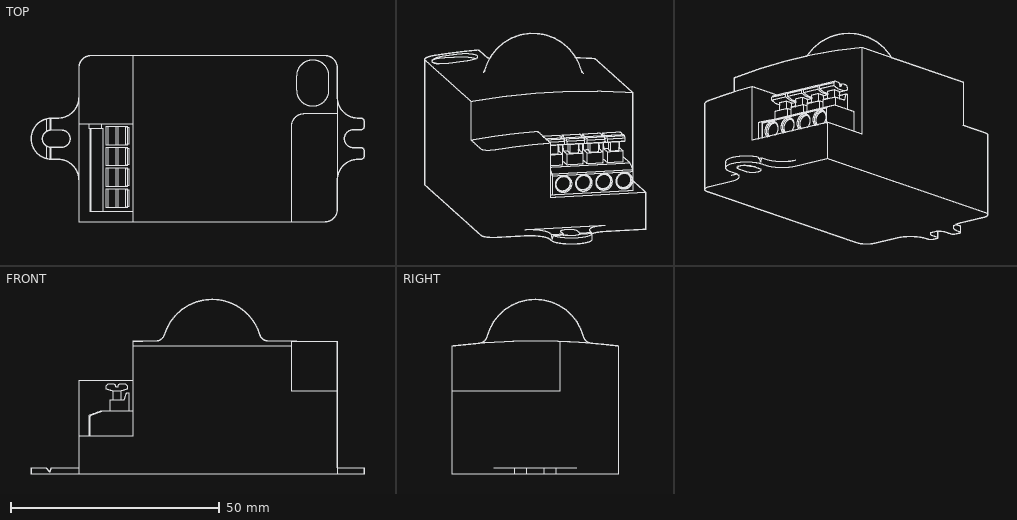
import cadquery as cq
import math

overall_length = 80.0

body_length = 62.1
body_width = 40.0
body_half = body_width / 2
corner_radius = 3.0
crown_height = 32.0
crown_drop = 1.2
crown_radius = (body_half**2 + crown_drop**2) / (2 * crown_drop)
step_length = 13.0
step_drop = 9.4

bay_floor = 9.1
bay_wall_y = 3.5

ledge_start_x = 51.0
ledge_wall_y = 6.0
ledge_height = 20.0

window_length = 11.1
window_width = 7.7
window_x = 56.2
window_y = 13.4
window_floor = 30.9

dome_radius = 12.0
dome_x = 32.0
dome_center_z = 30.0
dome_blend = 2.0

ear_thickness = 1.5
ear_half = 5.0
ear_root_half = 9.9
flare_radius = ear_root_half - ear_half
left_slot_width = 4.1
right_slot_width = 4.2
left_ear_reach = 11.4
left_slot_start = 2.1
left_slot_end = 8.7
right_ear_reach = overall_length - left_ear_reach - body_length
right_slot_start = 1.7
prong_round = 0.9
notch_start = 7.8
notch_deep = 7.0
notch_end = 6.6
notch_depth = 1.0

pole_count = 4
block_front = 2.6
block_left_y = 2.5
block_width = 20.0
pole_pitch = block_width / pole_count
block_height = 15.2
block_face_height = 13.8
block_bevel = 0.3
block_slope_height = 14.2
block_slope_end = 5.8
plate_front = 2.4
plate_face_height = 14.1
plate_slope_end = 5.4
entry_diameter = 3.6
entry_rim_diameter = 4.1
entry_rim_depth = 0.2
entry_depth = 0.8
entry_z = 11.6
first_entry_y = -0.3

first_lever_y = 0.7
lever_x = 9.1
foot_front = 7.4
foot_back = 12.0
foot_width = 3.9
foot_top = 17.8
post_top = 19.5
post_base_x = 10.9
post_top_x = 11.4
neck_width = 2.1
neck_half = 1.0
cap_half = 2.6
cap_width = 4.4
cap_bottom = 20.0
cap_edge_bottom = 20.5
cap_edge_top = 21.2
cap_top = 21.7
cap_chamfer = 0.5
slot_half = 0.2
slot_shoulder = 0.68
slot_bottom = 20.9


def box(x0, x1, y0, y1, z0, z1):
    return cq.Workplane("XY").box(x1 - x0, y1 - y0, z1 - z0, centered=False).translate((x0, y0, z0))


def crowned_prism(x0, x1, drop):
    """Full-width prism whose roof is a shallow cylinder about an X-parallel axis."""
    roof_radius = crown_radius - drop
    side_z = crown_height - crown_radius + math.sqrt(roof_radius**2 - body_half**2)
    return (
        cq.Workplane("YZ", origin=(x0, 0, 0))
        .moveTo(-body_half, 0)
        .lineTo(body_half, 0)
        .lineTo(body_half, side_z)
        .threePointArc((0, crown_height - drop), (-body_half, side_z))
        .close()
        .extrude(x1 - x0)
    )


def make_shell():
    shell = crowned_prism(step_length, body_length, 0).union(crowned_prism(0, step_length, step_drop))
    shell = shell.edges("|Z").edges(">X or (<X and >Y)").fillet(corner_radius)
    shell = shell.cut(box(0, step_length, -body_half, bay_wall_y, bay_floor, crown_height))
    ledge_notch = box(
        ledge_start_x, body_length + corner_radius, -body_half - corner_radius, ledge_wall_y,
        ledge_height, crown_height,
    )
    shell = shell.cut(ledge_notch.edges("|Z and <X and >Y").fillet(corner_radius))
    window = (
        cq.Workplane("XY", origin=(window_x, window_y, window_floor))
        .slot2D(window_length, window_width, 90)
        .extrude(crown_height - window_floor)
    )
    return shell.cut(window)


def add_dome(shell):
    """Sphere rising through the roof, with a concave blend where they meet."""
    sphere = cq.Workplane("XY").sphere(dome_radius).translate((dome_x, 0, dome_center_z))
    sphere = sphere.intersect(
        box(0, body_length, -body_half, body_half, crown_height - 2 * crown_drop, dome_center_z + dome_radius)
    )
    seam_zone = cq.selectors.BoxSelector(
        (dome_x - dome_radius, -dome_radius, crown_height - crown_drop),
        (dome_x + dome_radius, dome_radius, crown_height + crown_drop),
        boundingbox=True,
    )
    return shell.union(sphere).edges(seam_zone).fillet(dome_blend)


def ear_strip(reach):
    """Ear pointing along +X from x = 0, with concave flares at its root."""
    flare_mid = flare_radius * (1 - math.sqrt(0.5))
    return (
        cq.Workplane("XY")
        .moveTo(0, -ear_root_half)
        .threePointArc((flare_mid, -ear_half - flare_mid), (flare_radius, -ear_half))
        .lineTo(reach, -ear_half)
        .lineTo(reach, ear_half)
        .lineTo(flare_radius, ear_half)
        .threePointArc((flare_mid, ear_half + flare_mid), (0, ear_root_half))
        .close()
        .extrude(ear_thickness)
    )


def slot_cutter(start, end, width):
    return (
        cq.Workplane("XY")
        .center((start + end) / 2, 0)
        .slot2D(end - start, width)
        .extrude(ear_thickness)
    )


def make_left_ear():
    end_center = left_ear_reach - ear_half
    round_end = cq.Workplane("XY").center(end_center, 0).circle(ear_half).extrude(ear_thickness)
    ear = ear_strip(end_center).union(round_end)
    ear = ear.cut(slot_cutter(left_slot_start, left_slot_end, left_slot_width))
    notch = (
        cq.Workplane("XZ", origin=(0, ear_half, 0))
        .moveTo(notch_start, ear_thickness)
        .lineTo(notch_deep, ear_thickness - notch_depth)
        .lineTo(notch_end, ear_thickness)
        .close()
        .extrude(2 * ear_half)
    )
    return ear.cut(notch).mirror("YZ")


def make_right_ear():
    ear = ear_strip(right_ear_reach)
    ear = ear.cut(slot_cutter(right_slot_start, right_ear_reach + right_slot_width, right_slot_width))
    ear = ear.edges("|Z and >X").fillet(prong_round)
    return ear.translate((body_length, 0, 0))


def make_lever(y):
    """Foot, rear post, neck and slotted cap of one pole."""
    foot = box(foot_front, foot_back, y - foot_width / 2, y + foot_width / 2, block_height, foot_top)
    post = (
        cq.Workplane("XZ", origin=(0, y + foot_width / 2, 0))
        .moveTo(post_base_x, foot_top)
        .lineTo(post_top_x, post_top)
        .lineTo(foot_back, post_top)
        .lineTo(foot_back, foot_top)
        .close()
        .extrude(foot_width)
    )
    neck = box(
        lever_x - neck_half, lever_x + neck_half, y - neck_width / 2, y + neck_width / 2, foot_top, cap_bottom
    )
    shoulder_x = slot_half + slot_shoulder
    shoulder_z = cap_top - slot_shoulder
    shoulder_mid = slot_shoulder * math.sqrt(0.5)
    cap = (
        cq.Workplane("XZ", origin=(lever_x, y + cap_width / 2, 0))
        .moveTo(0, slot_bottom)
        .lineTo(slot_half, slot_bottom)
        .lineTo(slot_half, shoulder_z)
        .threePointArc((shoulder_x - shoulder_mid, shoulder_z + shoulder_mid), (shoulder_x, cap_top))
        .lineTo(cap_half - cap_chamfer, cap_top)
        .lineTo(cap_half, cap_edge_top)
        .lineTo(cap_half, cap_edge_bottom)
        .lineTo(neck_half, cap_bottom)
        .lineTo(0, cap_bottom)
        .mirrorY()
        .extrude(cap_width)
    )
    return foot.union(post).union(neck).union(cap)


def make_terminal_block():
    block = (
        cq.Workplane("XZ", origin=(0, block_left_y, 0))
        .moveTo(block_front, bay_floor)
        .lineTo(block_front, block_face_height)
        .lineTo(block_front + block_bevel, block_slope_height)
        .lineTo(block_slope_end, block_height)
        .lineTo(step_length, block_height)
        .lineTo(step_length, bay_floor)
        .close()
        .extrude(block_width)
    )
    end_plate = (
        cq.Workplane("XZ", origin=(0, bay_wall_y, 0))
        .moveTo(plate_front, bay_floor)
        .lineTo(plate_front, plate_face_height)
        .lineTo(plate_slope_end, block_height)
        .lineTo(step_length, block_height)
        .lineTo(step_length, bay_floor)
        .close()
        .extrude(bay_wall_y - block_left_y)
    )
    block = block.union(end_plate)
    rim_cone = cq.Solid.makeCone(
        entry_rim_diameter / 2, entry_diameter / 2, entry_rim_depth, dir=cq.Vector(1, 0, 0)
    )
    bore = cq.Solid.makeCylinder(entry_diameter / 2, entry_depth, dir=cq.Vector(1, 0, 0))
    for pole in range(pole_count):
        entry_place = cq.Vector(block_front, first_entry_y - pole * pole_pitch, entry_z)
        block = block.cut(cq.Workplane(rim_cone.translate(entry_place)))
        block = block.cut(cq.Workplane(bore.translate(entry_place)))
        block = block.union(make_lever(first_lever_y - pole * pole_pitch))
    return block


housing = add_dome(make_shell()).union(make_left_ear()).union(make_right_ear())
terminal_block = make_terminal_block()

result = cq.Compound.makeCompound([housing.val(), terminal_block.val()])